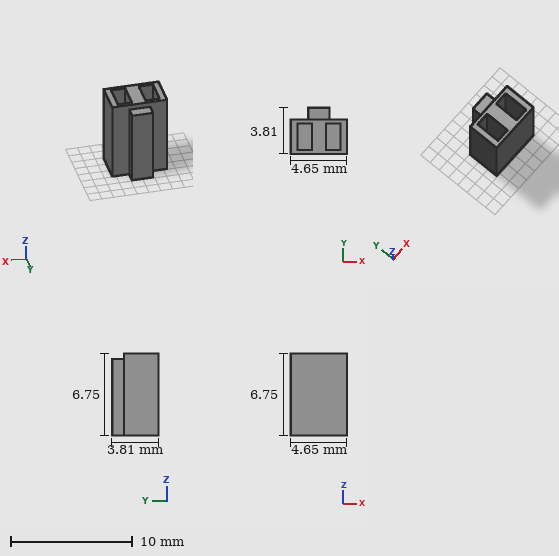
import cadquery as cq

body_width = 4.65
body_depth = 2.855
body_height = 6.75

overall_depth = 3.81
rail_width = 1.775
rail_height = 6.3
rail_depth = overall_depth - body_depth

pocket_width = 1.19
pocket_length = 2.19
pocket_pitch = 2.35
pocket_depth = 5.4


def block(width, depth, height):
    """Upright block standing on Z = 0, centred on X and Y."""
    return cq.Workplane("XY").box(width, depth, height, centered=(True, True, False))


body = block(body_width, body_depth, body_height)

rail_center_y = (body_depth + rail_depth) / 2
rail = block(rail_width, rail_depth, rail_height).translate((0, rail_center_y, 0))

pocket = block(pocket_width, pocket_length, pocket_depth)
pocket_floor = body_height - pocket_depth

result = body.union(rail)
for side in (-1, 1):
    result = result.cut(pocket.translate((side * pocket_pitch / 2, 0, pocket_floor)))